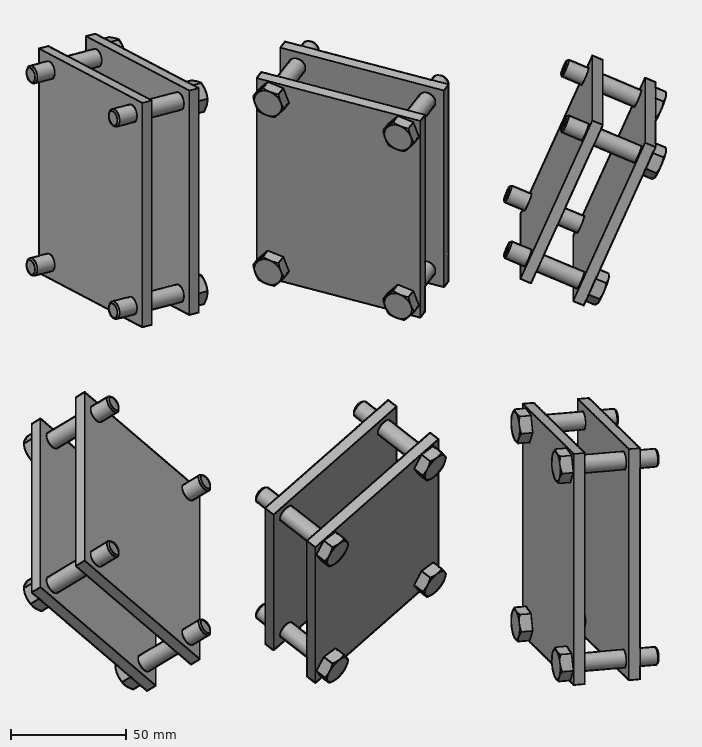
import cadquery as cq
import math

plate_width = 78.0
plate_height = 105.0
plate_thickness = 5.0
plate_gap = 20.0

bolt_pitch_x = 62.0
bolt_pitch_z = 90.0
shank_diameter = 8.0
shank_length = 40.0
tip_chamfer = 0.7
head_height = 5.7
head_across_flats = 13.0
head_cone_angle = 30.0
bolt_turn = 9.0

head_across_corners = head_across_flats / math.cos(math.radians(30))

rear_plate_y = 0.0
front_plate_y = rear_plate_y - plate_thickness - plate_gap

bolt_places = [
    (side_x * bolt_pitch_x / 2, side_z * bolt_pitch_z / 2)
    for side_x in (-1, 1)
    for side_z in (-1, 1)
]


def make_plate(back_y):
    """Drilled plate whose +Y face lies at back_y, centred on X = Z = 0."""
    return (
        cq.Workplane("XZ", origin=(0, back_y, 0))
        .rect(plate_width, plate_height)
        .extrude(plate_thickness)
        .cut(
            cq.Workplane("XZ", origin=(0, back_y, 0))
            .pushPoints(bolt_places)
            .circle(shank_diameter / 2)
            .extrude(plate_thickness)
        )
    )


def make_head():
    """Hexagonal head whose outer corners are cut back by a cone."""
    hexagon = cq.Workplane("XZ").polygon(6, head_across_corners).extrude(-head_height)
    flat_radius = head_across_flats / 2
    corner_radius = head_across_corners / 2
    cone_drop = (corner_radius - flat_radius) * math.tan(math.radians(head_cone_angle))
    envelope = (
        cq.Workplane("XY")
        .moveTo(0, 0)
        .lineTo(corner_radius, 0)
        .lineTo(corner_radius, head_height - cone_drop)
        .lineTo(flat_radius, head_height)
        .lineTo(0, head_height)
        .close()
        .revolve(360, (0, 0, 0), (0, 1, 0))
    )
    return hexagon.intersect(envelope)


def make_shank():
    """Plain round shank with a chamfered tip."""
    return (
        cq.Workplane("XZ")
        .circle(shank_diameter / 2)
        .extrude(shank_length)
        .faces("<Y")
        .chamfer(tip_chamfer)
    )


def make_bolt(x, z):
    """Hex bolt with its axis along Y at (x, z)."""
    return (
        make_head()
        .union(make_shank())
        .rotate((0, 0, 0), (0, 1, 0), -bolt_turn)
        .translate((x, rear_plate_y, z))
    )


rear_plate = make_plate(rear_plate_y)
front_plate = make_plate(front_plate_y)
bolts = [make_bolt(x, z) for x, z in bolt_places]

result = cq.Compound.makeCompound(
    [rear_plate.val(), front_plate.val(), *[bolt.val() for bolt in bolts]]
)